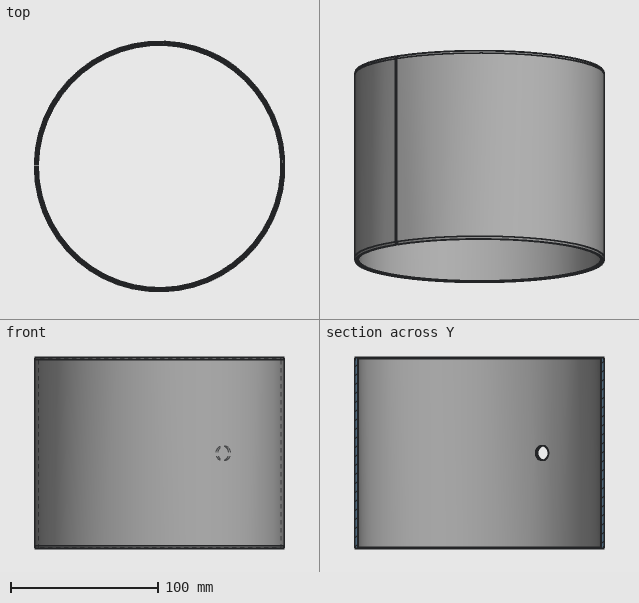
import cadquery as cq
import math

OUTER_DIAMETER = 170.0
WALL = 2.5
HEIGHT = 130.0
GAP_ANGLE = 1.0

OUTER_CHAMFER_AXIAL = 1.8
OUTER_CHAMFER_ANGLE = 20.0
INNER_CHAMFER = 0.8

HOLE_DIAMETER = 10.0
HOLE_OFFSET_ANGLE = 120.0

OUTER_RADIUS = OUTER_DIAMETER / 2
INNER_RADIUS = OUTER_RADIUS - WALL
OUTER_CHAMFER_RADIAL = OUTER_CHAMFER_AXIAL * math.tan(math.radians(OUTER_CHAMFER_ANGLE))
HOLE_ANGLE = 180.0 - GAP_ANGLE - HOLE_OFFSET_ANGLE


def sleeve():
    """Tube about Z, centred on the origin, swept from its chamfered wall section on the -X side."""
    top = HEIGHT / 2
    outer_shoulder = top - OUTER_CHAMFER_AXIAL
    inner_shoulder = top - INNER_CHAMFER
    outer_rim = OUTER_RADIUS - OUTER_CHAMFER_RADIAL
    inner_rim = INNER_RADIUS + INNER_CHAMFER
    wall_section = [
        (-INNER_RADIUS, -inner_shoulder),
        (-inner_rim, -top),
        (-outer_rim, -top),
        (-OUTER_RADIUS, -outer_shoulder),
        (-OUTER_RADIUS, outer_shoulder),
        (-outer_rim, top),
        (-inner_rim, top),
        (-INNER_RADIUS, inner_shoulder),
    ]
    axis_start = (0, 0, 0)
    axis_end = (0, 1, 0)
    return cq.Workplane("XZ").polyline(wall_section).close().revolve(360 - GAP_ANGLE, axis_start, axis_end)


def hole_cutter():
    """Cylinder running outward from the axis, through one side of the wall."""
    return (
        cq.Workplane("YZ")
        .circle(HOLE_DIAMETER / 2)
        .extrude(OUTER_DIAMETER)
        .rotate((0, 0, 0), (0, 0, 1), HOLE_ANGLE)
    )


result = sleeve().cut(hole_cutter())